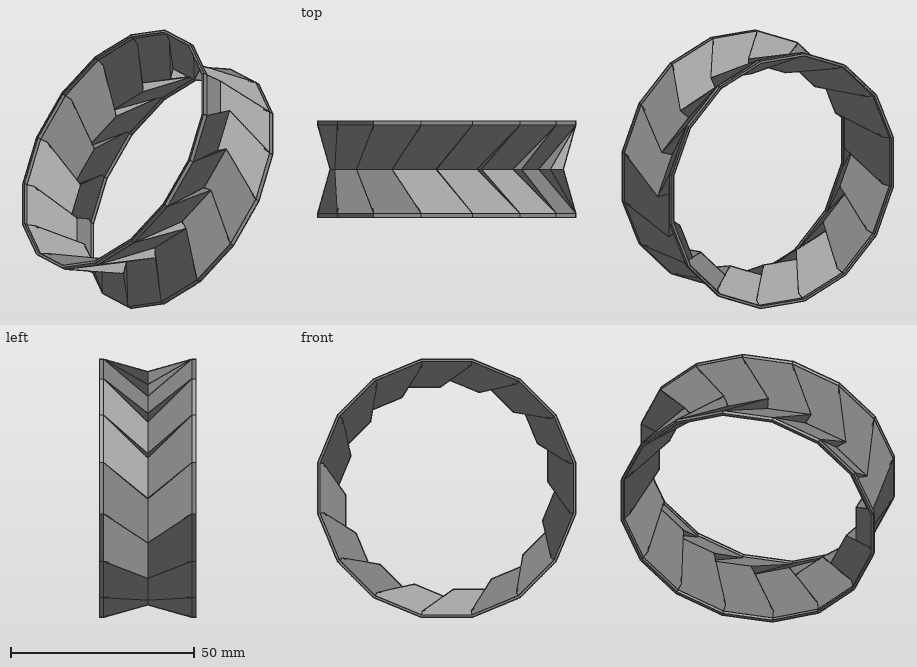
import cadquery as cq
import math

side_count = 16
rim_apothem = 35.2
half_width = 13.2
band_width = 1.2
wall = 0.68
waist_apothem = 28.27
waist_start = -14.9
waist_end = -2.76

pitch = 2 * math.pi / side_count
half_side = rim_apothem * math.tan(pitch / 2)
fold_y = half_width - band_width


def place(tangent, radial, y, panel=0):
    """Point given in a panel's own tangential and radial directions; panel 0 faces +Z."""
    angle = panel * pitch
    x = tangent * math.cos(angle) + radial * math.sin(angle)
    z = radial * math.cos(angle) - tangent * math.sin(angle)
    return cq.Vector(x, y, z)


def around(point):
    """The matching points on all panels, for a point of panel 0."""
    return [place(point.x, point.z, point.y, panel) for panel in range(side_count)]


def inset_plane(a, b, c):
    """Plane through three points, moved inward by the wall: (unit normal away from the axis, distance)."""
    normal = (b - a).cross(c - a).normalized()
    if normal.dot(a) < 0:
        normal = -normal
    return normal, normal.dot(a) - wall


def meeting_point(first, second, third):
    """Point shared by three planes."""
    (n1, d1), (n2, d2), (n3, d3) = first, second, third
    total = n2.cross(n3) * d1 + n3.cross(n1) * d2 + n1.cross(n2) * d3
    return total * (1 / n1.dot(n2.cross(n3)))


def face(points):
    return cq.Face.makeFromWires(cq.Wire.makePolygon(points, close=True))


def half_body(corners, forks, starts, ends):
    """Solid from the mid-plane to one end.

    corners: rim corners where band and panels meet; forks: where a gusset splits two panels,
    or the rim corners themselves; starts, ends: waist corners of each panel.
    """
    forked = forks is not corners
    tips = [cq.Vector(p.x, half_width, p.z) for p in corners]
    waist = []
    faces = [face(tips)]
    for i in range(side_count):
        j = (i + 1) % side_count
        panel = [corners[i], corners[j], ends[i], starts[i]]
        if forked:
            panel = [corners[i], corners[j], forks[j], ends[i], starts[i], forks[i]]
        faces.append(face(panel))
        faces.append(face([forks[j], ends[i], starts[j]]))
        faces.append(face([corners[i], corners[j], tips[j], tips[i]]))
        waist += [starts[i], ends[i]]
    faces.append(face(waist))
    return cq.Workplane(cq.Solid.makeSolid(cq.Shell.makeShell(faces)))


corner = place(-half_side, rim_apothem, fold_y)
next_corner = place(half_side, rim_apothem, fold_y)
start = place(waist_start, waist_apothem, 0)
end = place(waist_end, waist_apothem, 0)
previous_start = place(waist_start, waist_apothem, 0, -1)
previous_end = place(waist_end, waist_apothem, 0, -1)
next_start = place(waist_start, waist_apothem, 0, 1)


def outer_body():
    """Half of the ring's outer form; each gusset shares its tip with a rim corner."""
    corners = around(corner)
    return half_body(corners, corners, around(start), around(end))


def inner_body():
    """Half of the hollow: every outer face moved inward by the wall, with corners where they meet."""
    mid_plane = (cq.Vector(0, 1, 0), 0)
    band_plane = (cq.Vector(0, 0, 1), rim_apothem - wall)
    panel = inset_plane(corner, start, end)
    previous_panel = inset_plane(corner, previous_start, previous_end)
    gusset = inset_plane(next_corner, end, next_start)
    previous_gusset = inset_plane(corner, previous_end, start)
    corners = around(meeting_point(panel, previous_panel, band_plane))
    forks = around(meeting_point(panel, previous_panel, previous_gusset))
    starts = around(meeting_point(panel, previous_gusset, mid_plane))
    ends = around(meeting_point(panel, gusset, mid_plane))
    return half_body(corners, forks, starts, ends)


half_ring = outer_body().cut(inner_body())
result = half_ring.union(half_ring.mirror("XZ"))